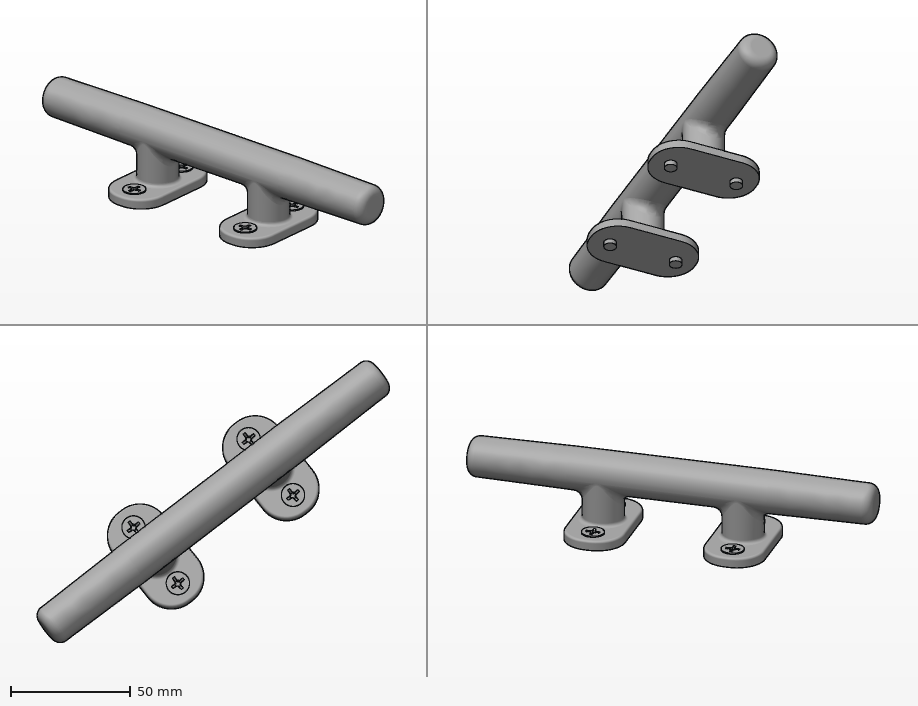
import cadquery as cq

CLEAT_LENGTH = 178.0
OVERALL_HEIGHT = 37.4

BAR_DIAMETER = 18.5
HORN_TIP_DIAMETER = 17.5
NOSE_RADIUS = 4.1

FOOT_LENGTH = 48.2
FOOT_CORNER_RADIUS = 12.3
FOOT_END_FLAT = 1.8
FOOT_THICKNESS = 4.3
FOOT_EDGE_RADIUS = 1.0
FOOT_OFFSET = 30.6

POST_DIAMETER = 17.8
POST_TOP_RADIUS = 4.1
POST_BASE_RADIUS = 1.6

SCREW_OFFSET = 15.1
HEAD_DIAMETER = 9.8
HEAD_RIM_HEIGHT = 0.5
SHANK_DIAMETER = 5.3
SHANK_PROTRUSION = 2.1
RECESS_SPAN = 6.0
RECESS_WIDTH = 1.0
RECESS_DEPTH = 2.1
PIT_TOP_DIAGONAL = 3.5
PIT_FLOOR_DIAGONAL = 2.3

FOOT_WIDTH = 2 * FOOT_CORNER_RADIUS + FOOT_END_FLAT
FOOT_BOTTOM = SHANK_PROTRUSION
FOOT_TOP = FOOT_BOTTOM + FOOT_THICKNESS
BAR_AXIS_HEIGHT = OVERALL_HEIGHT - BAR_DIAMETER / 2
BAR_HALF_LENGTH = CLEAT_LENGTH / 2
BAR_STRAIGHT_HALF = FOOT_OFFSET + FOOT_WIDTH / 2
HEAD_TOP = FOOT_TOP + HEAD_RIM_HEIGHT
CONE_DEPTH = (HEAD_DIAMETER - SHANK_DIAMETER) / 2
FOOT_POSITIONS = [-FOOT_OFFSET, FOOT_OFFSET]
SCREW_POSITIONS = [(x, y) for x in FOOT_POSITIONS for y in (-SCREW_OFFSET, SCREW_OFFSET)]


def make_bar():
    """Bar turned about its own X-directed axis, with rounded ends."""
    tip_radius = HORN_TIP_DIAMETER / 2
    bar_radius = BAR_DIAMETER / 2
    bar = (
        cq.Workplane("XY")
        .moveTo(-BAR_HALF_LENGTH, 0)
        .lineTo(-BAR_HALF_LENGTH, tip_radius)
        .lineTo(-BAR_STRAIGHT_HALF, bar_radius)
        .lineTo(BAR_STRAIGHT_HALF, bar_radius)
        .lineTo(BAR_HALF_LENGTH, tip_radius)
        .lineTo(BAR_HALF_LENGTH, 0)
        .close()
        .revolve(360, (0, 0), (1, 0))
    )
    bar = bar.faces("<X or >X").edges().fillet(NOSE_RADIUS)
    return bar.translate((0, 0, BAR_AXIS_HEIGHT))


def make_foot(x):
    """Foot plate with large corner radii and a rounded top edge."""
    return (
        cq.Workplane("XY", origin=(x, 0, FOOT_BOTTOM))
        .rect(FOOT_WIDTH, FOOT_LENGTH)
        .extrude(FOOT_THICKNESS)
        .edges("|Z")
        .fillet(FOOT_CORNER_RADIUS)
        .faces(">Z")
        .edges()
        .fillet(FOOT_EDGE_RADIUS)
    )


def make_pedestal(x):
    """Foot with its round post up to the bar axis, filleted where the post leaves the foot."""
    post = (
        cq.Workplane("XY", origin=(x, 0, FOOT_TOP))
        .circle(POST_DIAMETER / 2)
        .extrude(BAR_AXIS_HEIGHT - FOOT_TOP)
    )
    post_base = cq.selectors.NearestToPointSelector((x, 0, FOOT_TOP))
    return make_foot(x).union(post).edges("%CIRCLE").edges(post_base).fillet(POST_BASE_RADIUS)


def make_screw_blank(x, y):
    """Screw without its recess: shank, countersunk cone and short head rim."""
    shank_radius = SHANK_DIAMETER / 2
    head_radius = HEAD_DIAMETER / 2
    return (
        cq.Workplane("XZ")
        .lineTo(shank_radius, 0)
        .lineTo(shank_radius, FOOT_TOP - CONE_DEPTH)
        .lineTo(head_radius, FOOT_TOP)
        .lineTo(head_radius, HEAD_TOP)
        .lineTo(0, HEAD_TOP)
        .close()
        .revolve(360, (0, 0), (0, 1))
        .translate((x, y, 0))
    )


def make_recess_slot():
    """One slot along X whose ends slope down to a flat floor at the screw axis."""
    return (
        cq.Workplane("XZ")
        .moveTo(-RECESS_SPAN / 2, HEAD_TOP)
        .lineTo(RECESS_SPAN / 2, HEAD_TOP)
        .lineTo(PIT_FLOOR_DIAGONAL / 2, HEAD_TOP - RECESS_DEPTH)
        .lineTo(-PIT_FLOOR_DIAGONAL / 2, HEAD_TOP - RECESS_DEPTH)
        .close()
        .extrude(RECESS_WIDTH / 2, both=True)
    )


def make_recess_pit():
    """Tapered square pit at the screw axis, with its corners pointing along the slots."""
    return (
        cq.Workplane("XY", origin=(0, 0, HEAD_TOP))
        .polygon(4, PIT_TOP_DIAGONAL)
        .workplane(offset=-RECESS_DEPTH)
        .polygon(4, PIT_FLOOR_DIAGONAL)
        .loft(ruled=True)
    )


def make_cross_recess():
    """Cross recess on the Z axis: two crossed slots and the pit between them."""
    slot = make_recess_slot()
    crossed_slot = slot.rotate((0, 0, 0), (0, 0, 1), 90)
    return slot.union(crossed_slot).union(make_recess_pit())


def make_screw(x, y):
    """Finished screw with its cross recess."""
    return make_screw_blank(x, y).cut(make_cross_recess().translate((x, y, 0)))


def make_cleat():
    """Bar and pedestals in one casting, filleted where they join, with holes for the screws."""
    cleat = make_bar()
    for x in FOOT_POSITIONS:
        cleat = cleat.union(make_pedestal(x))
    joint_region = cq.selectors.BoxSelector(
        (-BAR_STRAIGHT_HALF, -BAR_DIAMETER, BAR_AXIS_HEIGHT - BAR_DIAMETER / 2),
        (BAR_STRAIGHT_HALF, BAR_DIAMETER, BAR_AXIS_HEIGHT),
    )
    cleat = cleat.edges(joint_region).edges("not %LINE").edges("not %CIRCLE").fillet(POST_TOP_RADIUS)
    for x, y in SCREW_POSITIONS:
        cleat = cleat.cut(make_screw_blank(x, y))
    return cleat


cleat = make_cleat()
screws = [make_screw(x, y) for x, y in SCREW_POSITIONS]

result = cq.Compound.makeCompound([cleat.val(), *[screw.val() for screw in screws]])